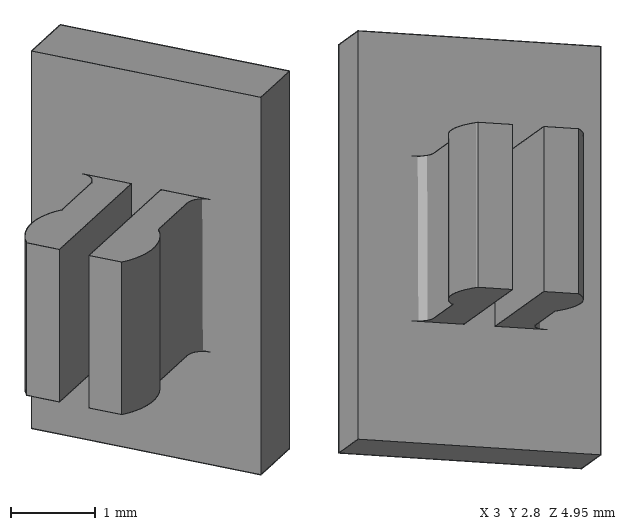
import cadquery as cq

plate_width = 3.0
plate_thickness = 0.8
plate_height = 4.95

prong_length = 2.0
prong_height = 2.0
slot_width = 0.385
stem_span = 1.26
bulge_span = 1.6
tip_span = 1.24
root_fillet = 0.205
bulge_start = prong_length / 2
bulge_peak = prong_length * 3 / 4


def make_plate():
    return cq.Workplane("XY").box(
        plate_width, plate_thickness, plate_height, centered=(True, False, True)
    )


def make_prong():
    """Prong on the +X side, with a concave root fillet and a rounded bulge."""
    inner_x = slot_width / 2
    stem_x = stem_span / 2
    return (
        cq.Workplane("XY")
        .moveTo(inner_x, 0)
        .lineTo(stem_x + root_fillet, 0)
        .radiusArc((stem_x, -root_fillet), -root_fillet)
        .lineTo(stem_x, -bulge_start)
        .threePointArc((bulge_span / 2, -bulge_peak), (tip_span / 2, -prong_length))
        .lineTo(inner_x, -prong_length)
        .close()
        .extrude(prong_height / 2, both=True)
    )


prong = make_prong()
result = make_plate().union(prong).union(prong.mirror("YZ"))